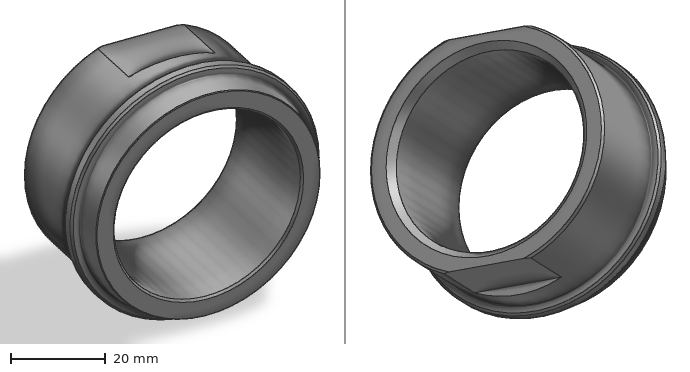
import cadquery as cq
import math

length = 30.0
body_radius = 28.0
entry_chamfer = 0.5

collar_radius = 30.0
collar_start = 21.5
collar_end = 24.5
collar_edge = 0.5
root_radius = 0.4

nose_end_radius = 27.0
nose_angle = 9.5
nose_edge = 0.2

bore_radius = 22.42
bore_entry_radius = 24.0
bore_entry_angle = 45.0
bore_exit_chamfer = 0.5

across_flats = 52.0
flat_length = 14.0
flat_end_angle = 15.0


def ring_blank():
    """Solid of revolution: body, collar and tapered nose."""
    nose_slope = math.radians(nose_angle)
    nose_end = length - nose_edge

    fillet_x = collar_end + root_radius
    cone_radius = nose_end_radius + (nose_end - fillet_x) * math.tan(nose_slope)
    fillet_y = cone_radius + root_radius / math.cos(nose_slope)
    fillet_end = (
        fillet_x - root_radius * math.sin(nose_slope),
        fillet_y - root_radius * math.cos(nose_slope),
    )

    profile = (
        cq.Workplane("XY")
        .moveTo(0, 0)
        .lineTo(0, body_radius - entry_chamfer)
        .lineTo(entry_chamfer, body_radius)
        .lineTo(collar_start - root_radius, body_radius)
        .radiusArc((collar_start, body_radius + root_radius), -root_radius)
        .lineTo(collar_start, collar_radius - collar_edge)
        .lineTo(collar_start + collar_edge, collar_radius)
        .lineTo(collar_end - collar_edge, collar_radius)
        .lineTo(collar_end, collar_radius - collar_edge)
        .lineTo(collar_end, fillet_y)
        .radiusArc(fillet_end, -root_radius)
        .lineTo(nose_end, nose_end_radius)
        .lineTo(length, nose_end_radius - nose_edge)
        .lineTo(length, 0)
        .close()
    )
    return profile.revolve(360, (0, 0, 0), (1, 0, 0))


def bore():
    """Through bore, opened by a cone at the entry face and chamfered at the far end."""
    entry_depth = (bore_entry_radius - bore_radius) / math.tan(math.radians(bore_entry_angle))
    profile = (
        cq.Workplane("XY")
        .moveTo(0, 0)
        .lineTo(0, bore_entry_radius)
        .lineTo(entry_depth, bore_radius)
        .lineTo(length - bore_exit_chamfer, bore_radius)
        .lineTo(length, bore_radius + bore_exit_chamfer)
        .lineTo(length, 0)
        .close()
    )
    return profile.revolve(360, (0, 0, 0), (1, 0, 0))


def flat_cutter(side):
    """Material removed above one flat; its end wall leans away from the entry face."""
    flat_height = across_flats / 2
    wall_run = (collar_radius - flat_height) * math.tan(math.radians(flat_end_angle))
    return (
        cq.Workplane("XZ")
        .moveTo(0, side * flat_height)
        .lineTo(flat_length, side * flat_height)
        .lineTo(flat_length + wall_run, side * collar_radius)
        .lineTo(0, side * collar_radius)
        .close()
        .extrude(body_radius, both=True)
    )


result = ring_blank().cut(bore())
for side in (1, -1):
    result = result.cut(flat_cutter(side))